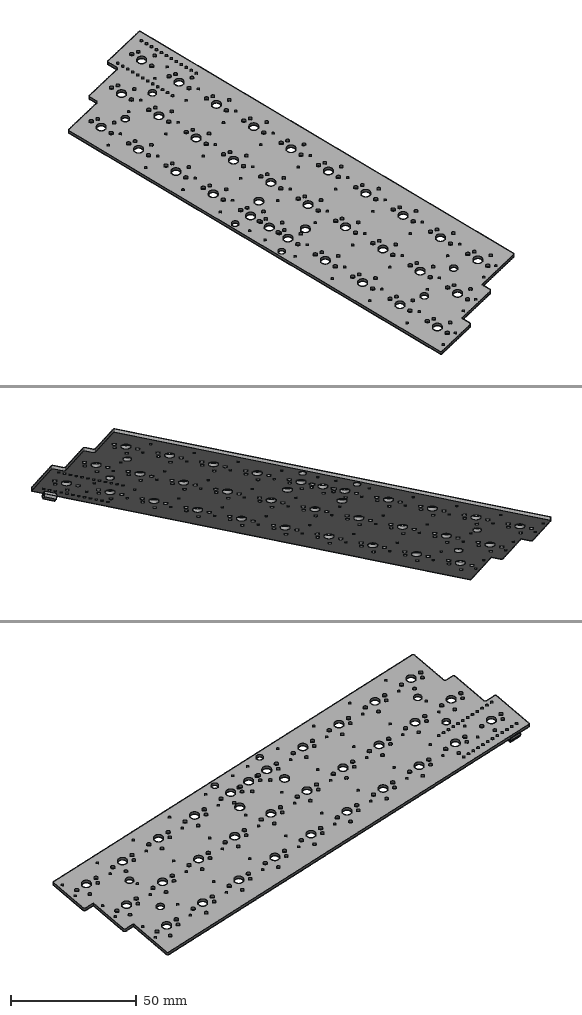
import cadquery as cq

LENGTH = 200.8
WIDTH = 59.2
THICKNESS = 1.6

KEYS_PER_ROW = 10
KEY_ROWS = 3
BOTTOM_ROW = KEY_ROWS - 1
ROW_SPAN = 171.5
KEY_PITCH = ROW_SPAN / (KEYS_PER_ROW - 1)
STAGGER = KEY_PITCH / 4

TOP_ROW_DEPTH = 20.9
LEFT_STEPS = (5.6, STAGGER)
RIGHT_STEPS = (STAGGER, STAGGER)
STEP_RADIUS = 0.8
CORNER_RADIUS = 0.5

GRID_STEPS_PER_KEY = 7.5
GRID = KEY_PITCH / GRID_STEPS_PER_KEY
FIRST_KEY_X = LENGTH - sum(RIGHT_STEPS) - KEY_PITCH / 2 - ROW_SPAN
FIRST_KEY_Y = (KEY_ROWS - 0.5) * KEY_PITCH
STEM_DIAMETER = 4.0
PEG_DIAMETER = 1.75
PEG_OFFSET = 2 * GRID
PIN_DIAMETER = 1.47
PIN_OFFSETS = ((-1.5 * GRID, GRID), (GRID, 2 * GRID))
WIDE_KEY_COLUMN = 4.5

STABILIZER_REACH = 11.8
STABILIZER_BACK_DIAMETER = 4.0
STABILIZER_BACK_OFFSET = 8.2
STABILIZER_FRONT_DIAMETER = 3.0
STABILIZER_FRONT_OFFSET = 7.0

DIODE_DIAMETER = 1.0
DIODE_SPAN = 7.8
DIODE_X_OFFSET = 8.2
DIODE_Y_OFFSET = 2.0
LAST_DIODE_X_OFFSET = 7.6
FIRST_DIODE_X_OFFSET = 10.2
FIRST_DIODE_Y_OFFSET = 3.5
WIDE_DIODE_COLUMN = 4
WIDE_DIODE_OFFSET = (4.6, -6.5)

HEADER_DIAMETER = 1.1
HEADER_PINS = 12
HEADER_X = 3.8
HEADER_DEPTH = 3.6
HEADER_SPAN = 6 * GRID
MOUNT_DIAMETER = 3.5
MOUNT_LEFT_X = 24.5
MOUNT_RIGHT_X = 176.9
MOUNT_LEFT_DEPTHS = (22.7, 40.2)
MOUNT_RIGHT_DEPTHS = (21.0, 40.0)

CHIP_X = 7.5
CHIP_LENGTH = 5.6
CHIP_WIDTH = 2.5
CHIP_HEIGHT = 2.6
CHIP_DRAFT_ANGLE = 12.0
NOTCH_DIAMETER = 1.0


def key_position(row, column):
    x = FIRST_KEY_X + row * STAGGER + column * KEY_PITCH
    y = FIRST_KEY_Y - row * KEY_PITCH
    return x, y


def all_keys():
    keys = [(row, column) for row in range(KEY_ROWS) for column in range(KEYS_PER_ROW)]
    return keys + [(BOTTOM_ROW, WIDE_KEY_COLUMN)]


def shifted(point, dx, dy):
    return point[0] + dx, point[1] + dy


def drill(board, points, diameter):
    cutters = cq.Workplane("XY").pushPoints(points).circle(diameter / 2).extrude(THICKNESS)
    return board.cut(cutters)


def round_corners(blank, corners, radius):
    for x, y in corners:
        corner_edge = cq.selectors.NearestToPointSelector((x, y, THICKNESS / 2))
        blank = blank.edges(corner_edge).fillet(radius)
    return blank


def board_blank():
    first_step_y = WIDTH - TOP_ROW_DEPTH
    second_step_y = first_step_y - KEY_PITCH
    left_inner = sum(LEFT_STEPS)
    right_middle = LENGTH - RIGHT_STEPS[1]
    right_inner = LENGTH - sum(RIGHT_STEPS)
    outline = [
        (0, WIDTH),
        (0, first_step_y),
        (LEFT_STEPS[0], first_step_y),
        (LEFT_STEPS[0], second_step_y),
        (left_inner, second_step_y),
        (left_inner, 0),
        (LENGTH, 0),
        (LENGTH, second_step_y),
        (right_middle, second_step_y),
        (right_middle, first_step_y),
        (right_inner, first_step_y),
        (right_inner, WIDTH),
    ]
    blank = cq.Workplane("XY").polyline(outline).close().extrude(THICKNESS)
    stepped = [
        (LEFT_STEPS[0], first_step_y),
        (left_inner, second_step_y),
        (LENGTH, second_step_y),
        (right_middle, first_step_y),
    ]
    corners = [
        (0, WIDTH),
        (0, first_step_y),
        (LEFT_STEPS[0], second_step_y),
        (left_inner, 0),
        (LENGTH, 0),
        (right_inner, WIDTH),
    ]
    blank = round_corners(blank, stepped, STEP_RADIUS)
    return round_corners(blank, corners, CORNER_RADIUS)


def key_holes(board):
    stems = [key_position(row, column) for row, column in all_keys()]
    pegs = [shifted(stem, side * PEG_OFFSET, 0) for stem in stems for side in (-1, 1)]
    pins = [shifted(stem, dx, dy) for stem in stems for dx, dy in PIN_OFFSETS]
    board = drill(board, stems, STEM_DIAMETER)
    for peg in pegs:
        board = drill(board, [peg], PEG_DIAMETER)
    return drill(board, pins, PIN_DIAMETER)


def stabilizer_holes(board):
    centre = key_position(BOTTOM_ROW, WIDE_KEY_COLUMN)
    sides = (-STABILIZER_REACH, STABILIZER_REACH)
    back = [shifted(centre, dx, STABILIZER_BACK_OFFSET) for dx in sides]
    front = [shifted(centre, dx, -STABILIZER_FRONT_OFFSET) for dx in sides]
    board = drill(board, back, STABILIZER_BACK_DIAMETER)
    return drill(board, front, STABILIZER_FRONT_DIAMETER)


def diode_leads(row, column):
    key = key_position(row, column)
    if (row, column) == (BOTTOM_ROW, WIDE_DIODE_COLUMN):
        lead = shifted(key, *WIDE_DIODE_OFFSET)
        return [lead, shifted(lead, DIODE_SPAN, 0)]
    dx, dy = DIODE_X_OFFSET, DIODE_Y_OFFSET
    if column == KEYS_PER_ROW - 1:
        dx = LAST_DIODE_X_OFFSET
    if (row, column) == (0, 0):
        dx, dy = FIRST_DIODE_X_OFFSET, FIRST_DIODE_Y_OFFSET
    lead = shifted(key, dx, dy)
    return [lead, shifted(lead, 0, -DIODE_SPAN)]


def diode_holes(board):
    leads = []
    for row in range(KEY_ROWS):
        for column in range(KEYS_PER_ROW):
            leads += diode_leads(row, column)
    return drill(board, leads, DIODE_DIAMETER)


def header_holes(board):
    back_y = WIDTH - HEADER_DEPTH
    points = [
        (HEADER_X + pin * GRID, y)
        for pin in range(HEADER_PINS)
        for y in (back_y, back_y - HEADER_SPAN)
    ]
    return drill(board, points, HEADER_DIAMETER)


def mounting_holes(board):
    points = [(MOUNT_LEFT_X, WIDTH - depth) for depth in MOUNT_LEFT_DEPTHS]
    points += [(MOUNT_RIGHT_X, WIDTH - depth) for depth in MOUNT_RIGHT_DEPTHS]
    return drill(board, points, MOUNT_DIAMETER)


def make_board():
    board = board_blank()
    board = key_holes(board)
    board = stabilizer_holes(board)
    board = diode_holes(board)
    board = header_holes(board)
    return mounting_holes(board)


def make_chip():
    middle = cq.Workplane("XY").center(CHIP_X, WIDTH - CHIP_WIDTH / 2).workplane(offset=-CHIP_HEIGHT / 2)
    upper = middle.rect(CHIP_LENGTH, CHIP_WIDTH).extrude(CHIP_HEIGHT / 2, taper=CHIP_DRAFT_ANGLE)
    lower = middle.rect(CHIP_LENGTH, CHIP_WIDTH).extrude(-CHIP_HEIGHT / 2, taper=CHIP_DRAFT_ANGLE)
    notch = middle.center(-CHIP_LENGTH / 2, 0).circle(NOTCH_DIAMETER / 2).extrude(CHIP_HEIGHT / 2)
    return upper.union(lower).cut(notch)


board = make_board()
chip = make_chip()
result = cq.Compound.makeCompound([board.val(), chip.val()])